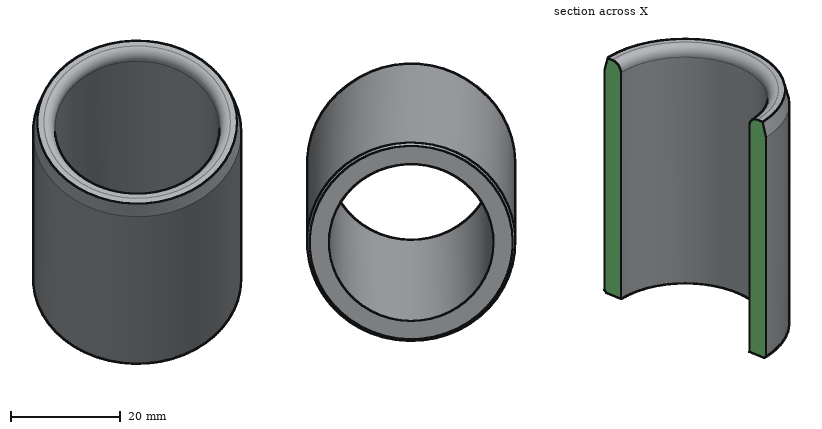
import cadquery as cq
import math

length = 50.0
outer_diameter = 38.0
bore_diameter = 30.0

lead_in_height = 3.0
lead_in_angle = 15.0
bore_mouth_radius = 2.0
bottom_chamfer = 0.5

outer_radius = outer_diameter / 2
bore_radius = bore_diameter / 2
lead_in_depth = lead_in_height * math.tan(math.radians(lead_in_angle))

mouth_arc_offset = bore_mouth_radius * (1 - math.sqrt(0.5))
wall_section = (
    cq.Workplane("XZ")
    .moveTo(bore_radius, 0)
    .lineTo(outer_radius - bottom_chamfer, 0)
    .lineTo(outer_radius, bottom_chamfer)
    .lineTo(outer_radius, length - lead_in_height)
    .lineTo(outer_radius - lead_in_depth, length)
    .lineTo(bore_radius + bore_mouth_radius, length)
    .threePointArc(
        (bore_radius + mouth_arc_offset, length - mouth_arc_offset),
        (bore_radius, length - bore_mouth_radius),
    )
    .close()
)

result = wall_section.revolve(360, (0, 0, 0), (0, 1, 0))